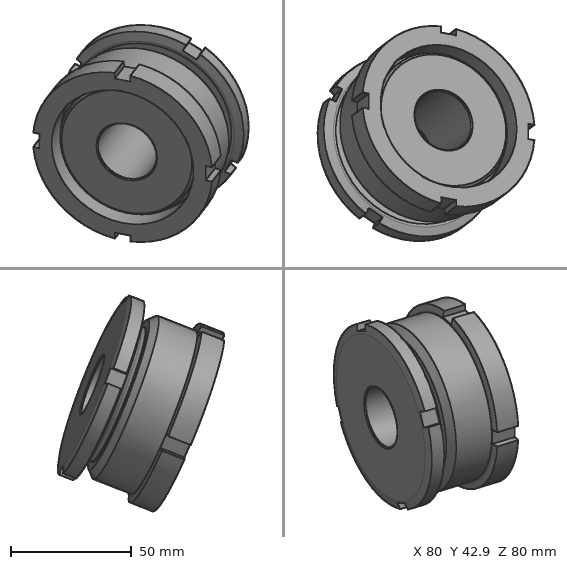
import cadquery as cq
import math

THREAD_RADIUS = 30.1
SLOT_WIDTH = 6.9
SLOT_DEPTH = 2.95
SLOT_COUNT = 4
BEVEL_ANGLE = 15.0

HOUSING_LENGTH = 31.0
HOUSING_RADIUS = 36.5
HOUSING_CHAMFER = 3.0
FLANGE_RADIUS = 39.9
FLANGE_LENGTH = 10.9
FLANGE_BEVEL = 0.7
RECESS_RADIUS = 31.5
RECESS_DEPTH = 10.4

BUSH_FRONT = 4.8
BUSH_BACK = 42.9
END_CHAMFER = 1.1
NECK_RADIUS = 28.4
NECK_FILLET = 0.8
NECK_FRONT = 33.4
COLLAR_RADIUS = 40.0
COLLAR_LENGTH = 8.0
COLLAR_BEVEL = 1.0
COLLAR_RECESS_RADIUS = 34.95
COLLAR_RECESS_DEPTH = 1.75
COLLAR_SLOT_TURN = 26.0
BORE_RADIUS = 12.95
BORE_CHAMFER = 0.55


def bevel_width(height):
    """Radial width of a shallow flange bevel of the given axial height."""
    return height / math.tan(math.radians(BEVEL_ANGLE))


def revolve_about_y(profile):
    """Solid of revolution from a closed (radius, Y) profile."""
    return profile.revolve(360, (0, 0, 0), (0, 1, 0))


def cut_rim_slots(body, rim_radius, front, back, turn):
    """Cut equally spaced wrench slots in a rim, turned about Y from the Z axis."""
    slot_floor = rim_radius - SLOT_DEPTH
    for index in range(SLOT_COUNT):
        slot = (
            cq.Workplane("XY")
            .box(SLOT_WIDTH, back - front, 2 * SLOT_DEPTH, centered=(True, False, False))
            .translate((0, front, slot_floor))
            .rotate((0, 0, 0), (0, 1, 0), turn + index * 360 / SLOT_COUNT)
        )
        body = body.cut(slot)
    return body


def make_housing():
    """Flanged sleeve with a front recess and a bore that carries the bush."""
    outline = [
        (RECESS_RADIUS, 0),
        (FLANGE_RADIUS, 0),
        (FLANGE_RADIUS, FLANGE_LENGTH - FLANGE_BEVEL),
        (FLANGE_RADIUS - bevel_width(FLANGE_BEVEL), FLANGE_LENGTH),
        (HOUSING_RADIUS, FLANGE_LENGTH),
        (HOUSING_RADIUS, HOUSING_LENGTH - HOUSING_CHAMFER),
        (HOUSING_RADIUS - HOUSING_CHAMFER, HOUSING_LENGTH),
        (THREAD_RADIUS, HOUSING_LENGTH),
        (THREAD_RADIUS, RECESS_DEPTH),
        (RECESS_RADIUS, RECESS_DEPTH),
    ]
    profile = cq.Workplane("XY").polyline(outline).close()
    return cut_rim_slots(revolve_about_y(profile), FLANGE_RADIUS, 0, FLANGE_LENGTH, 0)


def make_bush():
    """Bored bush with a bevelled, slotted and recessed collar behind a narrower neck."""
    collar_front = BUSH_BACK - COLLAR_LENGTH
    collar_face_radius = COLLAR_RADIUS - bevel_width(COLLAR_BEVEL)
    recess_floor = collar_front + COLLAR_RECESS_DEPTH

    half_turn = math.radians(22.5)
    fillet_middle = (
        NECK_RADIUS + NECK_FILLET * (1 - math.cos(half_turn)),
        NECK_FRONT - NECK_FILLET * math.sin(half_turn),
    )
    runout_back_radius = NECK_RADIUS + NECK_FILLET * (1 - math.cos(2 * half_turn))
    runout_back = NECK_FRONT - NECK_FILLET * math.sin(2 * half_turn)
    runout_front = runout_back - (THREAD_RADIUS - runout_back_radius)

    profile = (
        cq.Workplane("XY")
        .moveTo(BORE_RADIUS + BORE_CHAMFER, BUSH_FRONT)
        .lineTo(THREAD_RADIUS - END_CHAMFER, BUSH_FRONT)
        .lineTo(THREAD_RADIUS, BUSH_FRONT + END_CHAMFER)
        .lineTo(THREAD_RADIUS, runout_front)
        .lineTo(runout_back_radius, runout_back)
        .threePointArc(fillet_middle, (NECK_RADIUS, NECK_FRONT))
        .lineTo(NECK_RADIUS, recess_floor)
        .lineTo(COLLAR_RECESS_RADIUS, recess_floor)
        .lineTo(COLLAR_RECESS_RADIUS, collar_front)
        .lineTo(collar_face_radius, collar_front)
        .lineTo(COLLAR_RADIUS, collar_front + COLLAR_BEVEL)
        .lineTo(COLLAR_RADIUS, BUSH_BACK - COLLAR_BEVEL)
        .lineTo(collar_face_radius, BUSH_BACK)
        .lineTo(BORE_RADIUS + BORE_CHAMFER, BUSH_BACK)
        .lineTo(BORE_RADIUS, BUSH_BACK - BORE_CHAMFER)
        .lineTo(BORE_RADIUS, BUSH_FRONT + BORE_CHAMFER)
        .close()
    )
    return cut_rim_slots(revolve_about_y(profile), COLLAR_RADIUS, collar_front, BUSH_BACK, COLLAR_SLOT_TURN)


housing = make_housing()
bush = make_bush()
result = cq.Compound.makeCompound([housing.val(), bush.val()])